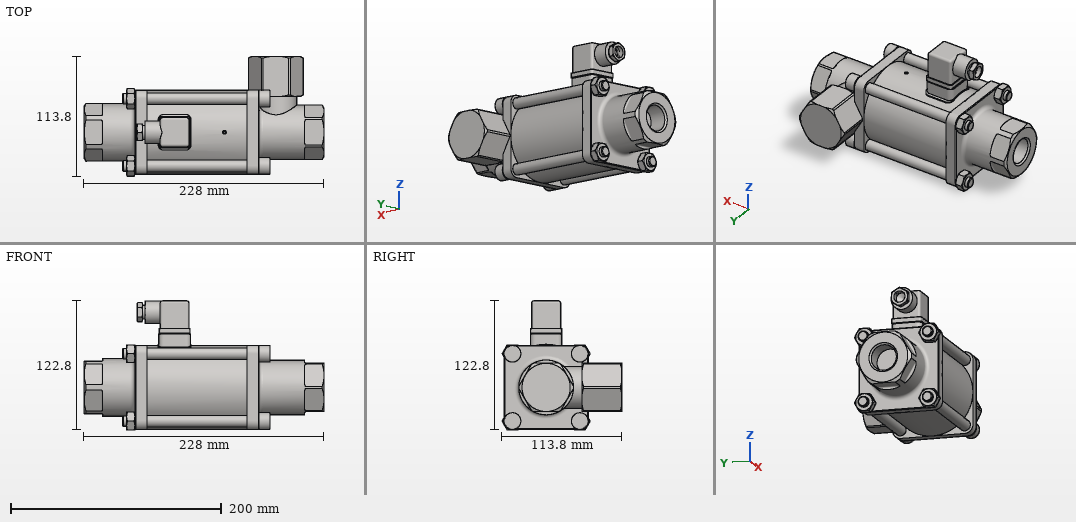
import math

import cadquery as cq


total_length = 228.0
plate_thickness = 11.5
inlet_plate_x = 48.4
outlet_plate_x = 154.9

plate_size = 80.0
plate_corner_radius = 8.0
plate_chamfer = 0.8
housing_radius = plate_size / 2
rod_offset = plate_size / 2 - plate_corner_radius
rod_diameter = 11.0
bolt_diameter = 10.0
bolt_tip_chamfer = 0.8
bolt_protrusion = 3.9
nut_across_flats = 17.0
nut_thickness = 8.0
nut_face_diameter = 16.5
bolt_head_diameter = 16.0
bolt_head_height = 10.3
bolt_head_fillet = 1.0

inlet_radius = 27.5
inlet_across_flats = 50.0
inlet_flat_length = 17.8
outlet_radius = 26.0
outlet_across_flats = 46.0
outlet_flat_length = 18.5
flat_runout_radius = 1.2
pipe_end_chamfer = 1.8
pipe_root_fillet = 4.0
chamfer_angle = math.radians(30)
inlet_bore_diameter = 25.0
inlet_bore_mouth_diameter = 28.4
inlet_bore_depth = 20.0

side_port_x = 182.2
side_port_neck_radius = 20.0
side_port_hex_start = 34.0
side_port_hex_end = 72.0
side_port_hex_chamfer = 1.5

vent_x = 133.4
vent_diameter = 2.0
vent_mouth_diameter = 3.6
vent_depth = 5.0

connector_x = 86.1
saddle_length = 31.4
saddle_width = 34.0
saddle_corner_radius = 5.5
saddle_thickness = 1.0
socket_length = 30.5
socket_width = 30.0
socket_corner_radius = 5.0
socket_top = 50.7
rim_length = 29.4
rim_width = 30.0
rim_top = 55.8
rim_bevel_height = 1.1
rim_bevel_depth = 0.8
plug_length = 27.4
plug_width = 27.8
plug_top = 82.3
plug_fillet = 2.4

gland_z = 71.4
gland_diameter = 21.5
gland_start = 58.0
gland_neck_diameter = 13.3
gland_neck_start = 55.6
gland_nut_start = 50.5
gland_nut_across_flats = 16.0
gland_nut_face_diameter = 16.5
cable_hole_diameter = 11.0
cable_hole_depth = 8.0
drill_point_half_angle = math.radians(59)


def along_x(x, y=0.0, z=0.0):
    """Workplane facing +X at the given point; local x is Y and local y is Z."""
    return cq.Workplane("YZ", origin=(x, y, z))


def rod(x_start, x_end, diameter, y=0.0, z=0.0):
    """Round bar along X."""
    return along_x(x_start, y, z).circle(diameter / 2).extrude(x_end - x_start)


def corner_radius_of(across_flats):
    """Distance from the centre of a regular hexagon to its corners."""
    return across_flats / math.sqrt(3)


def hexagon(plane, across_flats, height):
    """Hexagonal prism with two corners on the local x axis."""
    return plane.polygon(6, 2 * corner_radius_of(across_flats)).extrude(height)


def chamfered_cylinder(plane, length, radius, face_radius):
    """Cylinder whose two end edges are cut by shallow 30 degree cones."""
    cone_depth = radius - face_radius
    cone_length = cone_depth * math.tan(chamfer_angle)
    return plane.circle(radius).extrude(length).edges("%CIRCLE").chamfer(cone_length, cone_depth)


def make_plate(x, outer_face):
    """Square end plate with rounded corners and a chamfered outer face."""
    plate = along_x(x).rect(plate_size, plate_size).extrude(plate_thickness)
    plate = plate.edges("|X").fillet(plate_corner_radius)
    return plate.faces(outer_face).edges().chamfer(plate_chamfer)


def make_pipe(length, radius, across_flats, flat_length):
    """Pipe from X = 0 to a flared root at X = length, with six wrench flats at its end."""
    cone_height = pipe_end_chamfer / math.tan(chamfer_angle)
    flare_radius = radius + pipe_root_fillet
    profile = (
        cq.Workplane("XZ")
        .lineTo(0, radius - cone_height)
        .lineTo(pipe_end_chamfer, radius)
        .lineTo(length - pipe_root_fillet, radius)
        .radiusArc((length, flare_radius), -pipe_root_fillet)
        .lineTo(length, 0)
        .close()
    )
    pipe = profile.revolve(360, (0, 0, 0), (1, 0, 0))
    flat_height = across_flats / 2
    flat_cutter = (
        cq.Workplane("XZ")
        .moveTo(0, flat_height)
        .lineTo(flat_length - flat_runout_radius, flat_height)
        .radiusArc((flat_length, flat_height + flat_runout_radius), -flat_runout_radius)
        .lineTo(flat_length, flare_radius)
        .lineTo(0, flare_radius)
        .close()
        .extrude(radius, both=True)
    )
    for side in range(6):
        pipe = pipe.cut(flat_cutter.rotate((0, 0, 0), (1, 0, 0), 60 * side))
    return pipe


def make_inlet_bore():
    """Blind bore with a 45 degree countersunk mouth."""
    mouth_radius = inlet_bore_mouth_diameter / 2
    bore_radius = inlet_bore_diameter / 2
    profile = (
        cq.Workplane("XZ")
        .lineTo(0, mouth_radius)
        .lineTo(mouth_radius - bore_radius, bore_radius)
        .lineTo(inlet_bore_depth, bore_radius)
        .lineTo(inlet_bore_depth, 0)
        .close()
    )
    return profile.revolve(360, (0, 0, 0), (1, 0, 0))


def make_side_port():
    """Round neck from the outlet pipe to a hexagon with trimmed corners."""
    neck_plane = cq.Workplane("XZ", origin=(side_port_x, 0, 0))
    neck = neck_plane.circle(side_port_neck_radius).extrude(-side_port_hex_start)
    hex_length = side_port_hex_end - side_port_hex_start
    hex_plane = cq.Workplane("XZ", origin=(side_port_x, side_port_hex_end, 0))
    face_radius = outlet_radius - side_port_hex_chamfer / math.tan(chamfer_angle)
    envelope = chamfered_cylinder(hex_plane, hex_length, outlet_radius, face_radius)
    return neck.union(hexagon(hex_plane, outlet_across_flats, hex_length).intersect(envelope))


def make_tie_rod(y, z):
    """Tie rod with a round bolt head at the outlet plate and a nut at the inlet plate."""
    nut_x = inlet_plate_x - nut_thickness
    head_x = outlet_plate_x + plate_thickness
    tip = rod(nut_x - bolt_protrusion, inlet_plate_x, bolt_diameter, y, z)
    tip = tip.faces("<X").chamfer(bolt_tip_chamfer)
    shank = rod(inlet_plate_x, head_x, rod_diameter, y, z)
    head = rod(head_x, head_x + bolt_head_height, bolt_head_diameter, y, z)
    head = head.faces(">X").edges().fillet(bolt_head_fillet)
    nut_plane = along_x(nut_x, y, z)
    corner_radius = corner_radius_of(nut_across_flats)
    envelope = chamfered_cylinder(nut_plane, nut_thickness, corner_radius, nut_face_diameter / 2)
    nut = hexagon(nut_plane, nut_across_flats, nut_thickness).intersect(envelope)
    return shank.union(tip).union(head).union(nut)


def connector_block(length, width, corner_radius, bottom, top):
    """Upright block with rounded corners on the connector axis."""
    block = cq.Workplane("XY", origin=(connector_x, 0, bottom)).rect(length, width).extrude(top - bottom)
    return block.edges("|Z").fillet(corner_radius)


def make_connector():
    """Saddle, socket, rim and plug, stacked on the housing."""
    saddle_radius = housing_radius + saddle_thickness
    saddle = connector_block(saddle_length, saddle_width, saddle_corner_radius, 0, saddle_radius)
    saddle = saddle.intersect(rod(0, total_length, 2 * saddle_radius))
    socket = connector_block(socket_length, socket_width, socket_corner_radius, 0, socket_top)
    rim = connector_block(rim_length, rim_width, plug_fillet, socket_top, rim_top)
    rim = rim.faces("<Z").edges().chamfer(rim_bevel_depth, rim_bevel_height)
    plug = connector_block(plug_length, plug_width, plug_fillet, rim_top, plug_top)
    plug = plug.faces(">Z").edges().fillet(plug_fillet)
    return saddle.union(socket).union(rim).union(plug)


def make_gland():
    """Stepped cable gland ending in a small hexagon nut."""
    barrel = rod(gland_start, connector_x, gland_diameter, 0, gland_z)
    neck = rod(gland_neck_start, gland_start, gland_neck_diameter, 0, gland_z)
    nut_length = gland_neck_start - gland_nut_start
    nut_plane = along_x(gland_nut_start, 0, gland_z)
    corner_radius = corner_radius_of(gland_nut_across_flats)
    envelope = chamfered_cylinder(nut_plane, nut_length, corner_radius, gland_nut_face_diameter / 2)
    nut = hexagon(nut_plane.transformed(rotate=(0, 0, 90)), gland_nut_across_flats, nut_length)
    return barrel.union(neck).union(nut.intersect(envelope))


def make_cable_hole():
    """Blind drilled hole with a conical bottom."""
    hole_radius = cable_hole_diameter / 2
    hole_end = gland_nut_start + cable_hole_depth
    point_length = hole_radius / math.tan(drill_point_half_angle)
    profile = (
        cq.Workplane("XZ", origin=(0, 0, gland_z))
        .moveTo(gland_nut_start, 0)
        .lineTo(gland_nut_start, hole_radius)
        .lineTo(hole_end, hole_radius)
        .lineTo(hole_end + point_length, 0)
        .close()
    )
    return profile.revolve(360, (0, 0, 0), (1, 0, 0))


def make_vent_hole():
    """Blind hole in the crown of the housing with a 45 degree countersunk mouth."""
    mouth_radius = vent_mouth_diameter / 2
    hole_radius = vent_diameter / 2
    profile = (
        cq.Workplane("XZ", origin=(vent_x, 0, housing_radius))
        .lineTo(mouth_radius, 0)
        .lineTo(hole_radius, hole_radius - mouth_radius)
        .lineTo(hole_radius, -vent_depth)
        .lineTo(0, -vent_depth)
        .close()
    )
    return profile.revolve(360, (0, 0, 0), (0, 1, 0))


result = rod(inlet_plate_x + plate_thickness, outlet_plate_x, 2 * housing_radius)
result = result.union(make_plate(inlet_plate_x, "<X"))
result = result.union(make_plate(outlet_plate_x, ">X"))

inlet_pipe = make_pipe(inlet_plate_x, inlet_radius, inlet_across_flats, inlet_flat_length)
outlet_length = total_length - outlet_plate_x - plate_thickness
outlet_pipe = make_pipe(outlet_length, outlet_radius, outlet_across_flats, outlet_flat_length)
outlet_pipe = outlet_pipe.mirror("YZ").translate((total_length, 0, 0))
result = result.union(inlet_pipe).union(outlet_pipe).union(make_side_port())

for y_side in (-1, 1):
    for z_side in (-1, 1):
        result = result.union(make_tie_rod(y_side * rod_offset, z_side * rod_offset))

result = result.union(make_connector()).union(make_gland())

result = result.cut(make_inlet_bore()).cut(make_cable_hole()).cut(make_vent_hole())